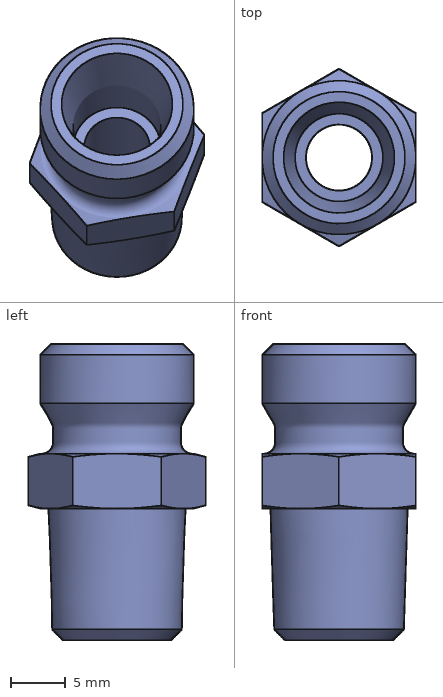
import cadquery as cq
import math

total_length = 27.0
hex_bottom = 12.0
hex_top = 17.0
collar_bottom = 21.57

collar_diameter = 14.0
groove_diameter = 11.7
spigot_top_diameter = 12.53
spigot_taper = 1 / 16
end_chamfer = 1.0

groove_radius = 1.0
groove_cone_angle = math.radians(30)

across_flats = 14.0
hex_chamfer_start_diameter = 13.9
hex_chamfer_angle = math.radians(15)

bore_diameter = 6.0
socket_diameter = 8.0
mouth_diameter = 10.1
mouth_half_angle = math.radians(12)
socket_depth = 10.0


def make_collar_and_groove():
    """Chamfered collar, conical underside and rounded groove above the hexagon."""
    collar_r = collar_diameter / 2
    groove_r = groove_diameter / 2

    cone_base = collar_bottom - (collar_r - groove_r) / math.tan(groove_cone_angle)
    tangent_length = groove_radius * math.tan(groove_cone_angle / 2)
    upper_arc_bottom = cone_base - tangent_length
    arc_center_r = groove_r + groove_radius

    def upper_arc_point(angle):
        return (
            arc_center_r - groove_radius * math.cos(angle),
            upper_arc_bottom + groove_radius * math.sin(angle),
        )

    diagonal = groove_radius * math.sqrt(0.5)
    lower_arc_top = hex_top + groove_radius
    profile = (
        cq.Workplane("XZ")
        .moveTo(0, hex_top)
        .lineTo(arc_center_r, hex_top)
        .threePointArc((arc_center_r - diagonal, lower_arc_top - diagonal), (groove_r, lower_arc_top))
        .lineTo(groove_r, upper_arc_bottom)
        .threePointArc(upper_arc_point(groove_cone_angle / 2), upper_arc_point(groove_cone_angle))
        .lineTo(collar_r, collar_bottom)
        .lineTo(collar_r, total_length - end_chamfer)
        .lineTo(collar_r - end_chamfer, total_length)
        .lineTo(0, total_length)
        .close()
    )
    return profile.revolve(360, (0, 0), (0, 1))


def make_hexagon():
    """Hexagon with its corners turned off conically at both ends."""
    corner_r = across_flats / math.sqrt(3)
    start_r = hex_chamfer_start_diameter / 2
    corner_drop = (corner_r - start_r) * math.tan(hex_chamfer_angle)
    prism = (
        cq.Workplane("XY")
        .workplane(offset=hex_bottom)
        .polygon(6, 2 * corner_r)
        .extrude(hex_top - hex_bottom)
        .rotate((0, 0, 0), (0, 0, 1), 30)
    )
    turned_blank = (
        cq.Workplane("XZ")
        .polyline([
            (0, hex_bottom),
            (start_r, hex_bottom),
            (corner_r, hex_bottom + corner_drop),
            (corner_r, hex_top - corner_drop),
            (start_r, hex_top),
            (0, hex_top),
        ])
        .close()
        .revolve(360, (0, 0), (0, 1))
    )
    return prism.intersect(turned_blank)


def make_spigot():
    """Tapered spigot below the hexagon, chamfered at its free end."""
    top_r = spigot_top_diameter / 2
    lower_r = top_r - (hex_bottom - end_chamfer) * spigot_taper / 2
    return (
        cq.Workplane("XZ")
        .polyline([
            (0, 0),
            (lower_r - end_chamfer, 0),
            (lower_r, end_chamfer),
            (top_r, hex_bottom),
            (0, hex_bottom),
        ])
        .close()
        .revolve(360, (0, 0), (0, 1))
    )


def make_bore():
    """Through bore, tube socket and conical mouth as one cutting body."""
    bore_r = bore_diameter / 2
    socket_r = socket_diameter / 2
    mouth_r = mouth_diameter / 2
    mouth_depth = (mouth_r - socket_r) / math.tan(mouth_half_angle)
    socket_floor = total_length - socket_depth
    return (
        cq.Workplane("XZ")
        .polyline([
            (0, 0),
            (bore_r, 0),
            (bore_r, socket_floor),
            (socket_r, socket_floor),
            (socket_r, total_length - mouth_depth),
            (mouth_r, total_length),
            (0, total_length),
        ])
        .close()
        .revolve(360, (0, 0), (0, 1))
    )


body = make_spigot().union(make_hexagon()).union(make_collar_and_groove())
result = body.cut(make_bore())